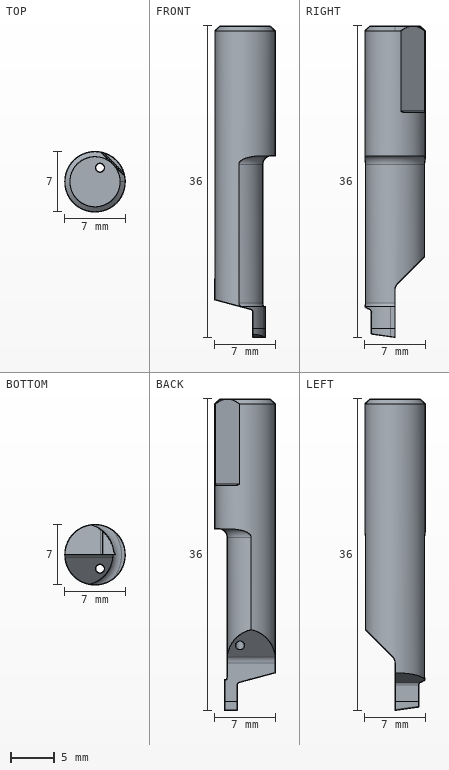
import cadquery as cq
import math

total_height = 36.0
shank_radius = 3.5
chamfer_radial = 0.6
chamfer_height = 0.55

flat_distance = 2.9
flat_length = 10.0
flat_chamfer = 0.17
flat_angle = 45.0

hole_diameter = 1.0
hole_x = 0.58
hole_y = 1.62

neck_axis_x = -1.43
neck_radius = 3.5
neck_fillet = 1.0
neck_top = total_height - 15.0
neck_straight_end = total_height - 32.0

stem_radius = 3.6
stem_left = 0.88
stem_corner_fillet = 0.3
flank_edge_x = 2.36
flank_depth = 0.5

bevel_angle = 15.0
bevel_rise = (stem_left + shank_radius) * math.tan(math.radians(bevel_angle))
bevel_outer_z = total_height - 31.65
bevel_inner_z = bevel_outer_z - bevel_rise

half_cut_outer_z = total_height - 26.6
half_cut_inner_z = half_cut_outer_z - shank_radius
half_cut_fillet = 1.0

head_height = 1.05
head_clearance_angle = 8.0
head_corner_radius = 0.1

overrun = 10.0


def rod():
    """Full-height cylinder with a chamfered top edge."""
    blank = cq.Workplane("XY").circle(shank_radius).extrude(total_height)
    return blank.faces(">Z").chamfer(chamfer_height, chamfer_radial)


def clamping_flat():
    """Tool for the flat, with a sloped foot leading out to its lower ledge."""
    flat_end = total_height - flat_length
    cut = (
        cq.Workplane("XZ")
        .moveTo(flat_distance, total_height)
        .lineTo(flat_distance, flat_end + flat_chamfer)
        .lineTo(flat_distance + flat_chamfer, flat_end)
        .lineTo(overrun, flat_end)
        .lineTo(overrun, total_height)
        .close()
        .extrude(overrun, both=True)
    )
    return cut.rotate((0, 0, 0), (0, 0, 1), flat_angle)


def neck_relief():
    """Ring around the shifted neck axis, filleted at both ends, open below."""
    fillet_centre_r = neck_radius + neck_fillet
    arc_middle = neck_fillet * math.sqrt(0.5)
    top_middle_r = fillet_centre_r - arc_middle
    top_middle_z = neck_top - neck_fillet + arc_middle
    stem_angle = math.acos((fillet_centre_r - stem_radius) / neck_fillet)
    low_middle_r = fillet_centre_r - neck_fillet * math.cos(stem_angle / 2)
    low_middle_z = neck_straight_end - neck_fillet * math.sin(stem_angle / 2)
    stem_top_z = neck_straight_end - neck_fillet * math.sin(stem_angle)
    ring = (
        cq.Workplane("XZ")
        .moveTo(overrun, neck_top)
        .lineTo(fillet_centre_r, neck_top)
        .threePointArc((top_middle_r, top_middle_z), (neck_radius, neck_top - neck_fillet))
        .lineTo(neck_radius, neck_straight_end)
        .threePointArc((low_middle_r, low_middle_z), (stem_radius, stem_top_z))
        .lineTo(stem_radius, 0)
        .lineTo(overrun, 0)
        .close()
        .revolve(360, (0, 0, 0), (0, 1, 0))
        .translate((neck_axis_x, 0, 0))
    )
    return ring.cut(side_flank(stem_top_z))


def side_flank(height):
    """Wedge left standing beside the stem, sharp at the cutting plane Y = 0."""
    arc_x = neck_axis_x + math.sqrt(stem_radius**2 - flank_depth**2)
    return (
        cq.Workplane("XY")
        .moveTo(stem_left, 0)
        .lineTo(flank_edge_x, 0)
        .lineTo(arc_x, -flank_depth)
        .lineTo(stem_left, -flank_depth)
        .close()
        .extrude(height)
    )


def bevel_cut():
    """Tool that bevels the shank end and leaves the -X face of the stem."""
    cut = (
        cq.Workplane("XZ")
        .moveTo(-shank_radius, bevel_outer_z)
        .lineTo(stem_left, bevel_inner_z)
        .lineTo(stem_left, 0)
        .lineTo(-overrun, 0)
        .lineTo(-overrun, bevel_outer_z)
        .close()
        .extrude(overrun, both=True)
    )
    corner = cq.selectors.NearestToPointSelector((stem_left, 0, bevel_inner_z))
    return cut.edges(corner).fillet(stem_corner_fillet)


def half_cut():
    """Tool that clears the +Y half, sloped at 45 degrees and filleted into Y = 0."""
    cut = (
        cq.Workplane("YZ")
        .moveTo(0, 0)
        .lineTo(0, half_cut_inner_z)
        .lineTo(overrun, half_cut_inner_z + overrun)
        .lineTo(overrun, 0)
        .close()
        .extrude(overrun, both=True)
    )
    corner = cq.selectors.NearestToPointSelector((0, 0, half_cut_inner_z))
    return cut.edges(corner).fillet(half_cut_fillet)


def head_clearance():
    """Wedge below the head, rising from the cutting edge towards -Y."""
    rise = overrun * math.tan(math.radians(head_clearance_angle))
    return (
        cq.Workplane("YZ")
        .polyline([(0, 0), (-overrun, rise), (-overrun, 0)])
        .close()
        .extrude(overrun, both=True)
    )


def coolant_hole():
    """Round hole running the full height."""
    return cq.Workplane("XY").center(hole_x, hole_y).circle(hole_diameter / 2).extrude(total_height)


def tool_outline():
    """Complete tool before the head is parted from the shank."""
    tool = rod().cut(neck_relief())
    for cutter in (clamping_flat(), bevel_cut(), half_cut(), head_clearance(), coolant_hole()):
        tool = tool.cut(cutter)
    return tool


head_zone = cq.Workplane("XY").rect(2 * overrun, 2 * overrun).extrude(head_height)

whole_tool = tool_outline()
shank = whole_tool.cut(head_zone)
head_blank = whole_tool.intersect(head_zone)
head_left_edge = head_blank.faces("<X").edges("<Z")
cutting_head = head_left_edge.fillet(head_corner_radius)

result = cq.Compound.makeCompound([shank.val(), cutting_head.val()])